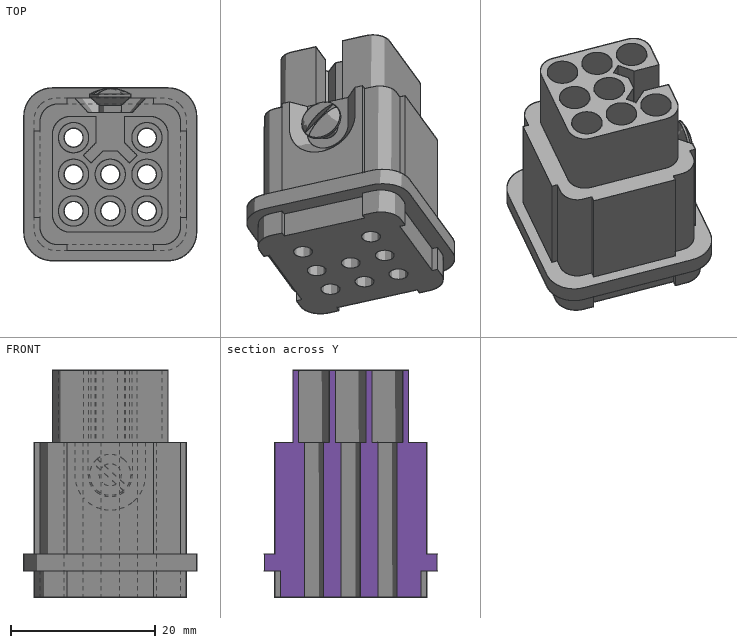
import cadquery as cq
import math

TOTAL_HEIGHT = 31.5
FLANGE_BOTTOM = 3.65
FLANGE_TOP = 6.05
CONTACT_BLOCK_HEIGHT = 10.0
BODY_TOP = TOTAL_HEIGHT - CONTACT_BLOCK_HEIGHT

FLANGE_SIZE = 24.0
FLANGE_CORNER_RADIUS = 4.0
BODY_SIZE = 21.1
RIB_WIDTH = 12.0
RIB_HEIGHT = 0.8
CORE_SIZE = BODY_SIZE - 2 * RIB_HEIGHT
CORE_CORNER_RADIUS = 2.5
BASE_CORNER_RADIUS = 3.0
CONTACT_BLOCK_SIZE = 16.05
CONTACT_BLOCK_CORNER_RADIUS = 2.5

CONTACT_PITCH = 5.08
CAVITY_DIAMETER = 4.2
CAVITY_DEPTH = CONTACT_BLOCK_HEIGHT
CONTACT_HOLE_DIAMETER = 2.6

KEYWAY_WIDTH = 3.96
KEYWAY_SHOULDER_Y = 4.37
KEYWAY_END_Y = 3.22
ARM_WIDTH = 1.5
ARM_TIP_X = 3.72

SCREW_Z = 17.0
RECESS_DEPTH = 2.0
RECESS_MOUTH_RADIUS = 4.9
RECESS_FLOOR_RADIUS = 3.05
RECESS_MOUTH_Y = BODY_SIZE / 2
RECESS_FLOOR_Y = RECESS_MOUTH_Y - RECESS_DEPTH
SHANK_RADIUS = 1.53
HEAD_RADIUS = 2.85
HEAD_CONE_START_Y = 9.55
HEAD_RIM_START_Y = 10.75
HEAD_RIM_END_Y = 11.1
HEAD_TOP_Y = 11.9
SHANK_EMBED = 0.5
DRIVER_SLOT_WIDTH = 0.8
DRIVER_SLOT_FLOOR_Y = 11.05
DRIVER_SLOT_ANGLE = 42.0


def rounded_square(size, corner_radius, z_bottom, z_top):
    """Upright square prism with rounded vertical edges."""
    prism = cq.Workplane("XY").workplane(offset=z_bottom).rect(size, size).extrude(z_top - z_bottom)
    return prism.edges("|Z").fillet(corner_radius)


def upright_bar(x_size, y_size, z_bottom, z_top):
    """Plain rectangular bar centred on the Z axis."""
    return cq.Workplane("XY").workplane(offset=z_bottom).rect(x_size, y_size).extrude(z_top - z_bottom)


def make_base():
    """Base below the flange, with a shallow recess in the middle of each side."""
    base = rounded_square(BODY_SIZE, BASE_CORNER_RADIUS, 0, FLANGE_BOTTOM)
    for side in range(4):
        recess = (
            cq.Workplane("XY")
            .center(0, BODY_SIZE / 2)
            .rect(RIB_WIDTH, 2 * RIB_HEIGHT)
            .extrude(FLANGE_BOTTOM)
            .rotate((0, 0, 0), (0, 0, 1), 90 * side)
        )
        base = base.cut(recess)
    return base


def make_body():
    """Body above the flange: a rounded core with one wide rib per side."""
    core = rounded_square(CORE_SIZE, CORE_CORNER_RADIUS, FLANGE_TOP, BODY_TOP)
    ribs_x = upright_bar(BODY_SIZE, RIB_WIDTH, FLANGE_TOP, BODY_TOP)
    ribs_y = upright_bar(RIB_WIDTH, BODY_SIZE, FLANGE_TOP, BODY_TOP)
    return core.union(ribs_x).union(ribs_y)


def make_keyway():
    """Cutter for the keyway, open to +Y and as deep as the contact block."""
    half_width = KEYWAY_WIDTH / 2
    tip_y = KEYWAY_SHOULDER_Y - (ARM_TIP_X - half_width)
    arm_step = ARM_WIDTH / math.sqrt(2)
    heel_x = ARM_TIP_X - arm_step
    heel_y = tip_y - arm_step
    end_half_width = heel_x - (KEYWAY_END_Y - heel_y)
    right_side = [
        (half_width, CONTACT_BLOCK_SIZE / 2),
        (half_width, KEYWAY_SHOULDER_Y),
        (ARM_TIP_X, tip_y),
        (heel_x, heel_y),
        (end_half_width, KEYWAY_END_Y),
    ]
    left_side = [(-x, y) for x, y in reversed(right_side)]
    return (
        cq.Workplane("XY")
        .workplane(offset=BODY_TOP)
        .polyline(right_side + left_side)
        .close()
        .extrude(CONTACT_BLOCK_HEIGHT)
    )


def contact_positions():
    """A 3 x 3 grid without the middle of the +Y row, where the keyway enters."""
    keyway_cell = (0, 1)
    cells = [(column, row) for row in (-1, 0, 1) for column in (-1, 0, 1)]
    cells.remove(keyway_cell)
    return [(column * CONTACT_PITCH, row * CONTACT_PITCH) for column, row in cells]


def cut_contact_cavities(part):
    """Wide cavities from the top, continued by narrower through holes."""
    return (
        part.faces(">Z")
        .workplane(origin=(0, 0, TOTAL_HEIGHT))
        .pushPoints(contact_positions())
        .cboreHole(CONTACT_HOLE_DIAMETER, CAVITY_DIAMETER, CAVITY_DEPTH)
    )


def about_screw_axis(profile):
    """Close a (radius, y) profile, turn it about the Y axis and lift it to the screw height."""
    return profile.close().revolve(360, (0, 0, 0), (0, 1, 0)).translate((0, 0, SCREW_Z))


def make_screw_recess():
    """Cutter flared towards +Y: conical below the screw, carried straight up through the body top."""
    cone = about_screw_axis(
        cq.Workplane("XY")
        .moveTo(0, RECESS_FLOOR_Y)
        .lineTo(RECESS_FLOOR_RADIUS, RECESS_FLOOR_Y)
        .lineTo(RECESS_MOUTH_RADIUS, RECESS_MOUTH_Y)
        .lineTo(0, RECESS_MOUTH_Y)
    )
    channel = (
        cq.Workplane("XY")
        .workplane(offset=SCREW_Z)
        .moveTo(-RECESS_FLOOR_RADIUS, RECESS_FLOOR_Y)
        .lineTo(RECESS_FLOOR_RADIUS, RECESS_FLOOR_Y)
        .lineTo(RECESS_MOUTH_RADIUS, RECESS_MOUTH_Y)
        .lineTo(-RECESS_MOUTH_RADIUS, RECESS_MOUTH_Y)
        .close()
        .extrude(BODY_TOP - SCREW_Z)
    )
    below_body_top = upright_bar(FLANGE_SIZE, FLANGE_SIZE, FLANGE_TOP, BODY_TOP)
    return cone.union(channel).intersect(below_body_top)


def make_screw():
    """Raised countersunk screw along +Y with a diagonal driver slot."""
    dome_height = HEAD_TOP_Y - HEAD_RIM_END_Y
    dome_radius = (HEAD_RADIUS**2 + dome_height**2) / (2 * dome_height)
    dome_mid_x = HEAD_RADIUS / 2
    dome_mid_y = HEAD_TOP_Y - dome_radius + math.sqrt(dome_radius**2 - dome_mid_x**2)
    shank_end_y = RECESS_FLOOR_Y - SHANK_EMBED
    screw = about_screw_axis(
        cq.Workplane("XY")
        .moveTo(0, shank_end_y)
        .lineTo(SHANK_RADIUS, shank_end_y)
        .lineTo(SHANK_RADIUS, HEAD_CONE_START_Y)
        .lineTo(HEAD_RADIUS, HEAD_RIM_START_Y)
        .lineTo(HEAD_RADIUS, HEAD_RIM_END_Y)
        .threePointArc((dome_mid_x, dome_mid_y), (0, HEAD_TOP_Y))
    )
    slot_depth = HEAD_TOP_Y - DRIVER_SLOT_FLOOR_Y
    driver_slot = (
        cq.Workplane("XY")
        .box(2 * HEAD_RADIUS, slot_depth, DRIVER_SLOT_WIDTH, centered=(True, False, True))
        .rotate((0, 0, 0), (0, 1, 0), DRIVER_SLOT_ANGLE)
        .translate((0, DRIVER_SLOT_FLOOR_Y, SCREW_Z))
    )
    return screw.cut(driver_slot)


flange = rounded_square(FLANGE_SIZE, FLANGE_CORNER_RADIUS, FLANGE_BOTTOM, FLANGE_TOP)
contact_block = rounded_square(CONTACT_BLOCK_SIZE, CONTACT_BLOCK_CORNER_RADIUS, BODY_TOP, TOTAL_HEIGHT)

insert = make_base().union(flange).union(make_body()).union(contact_block)
insert = cut_contact_cavities(insert)
insert = insert.cut(make_keyway()).cut(make_screw_recess())
result = insert.union(make_screw())